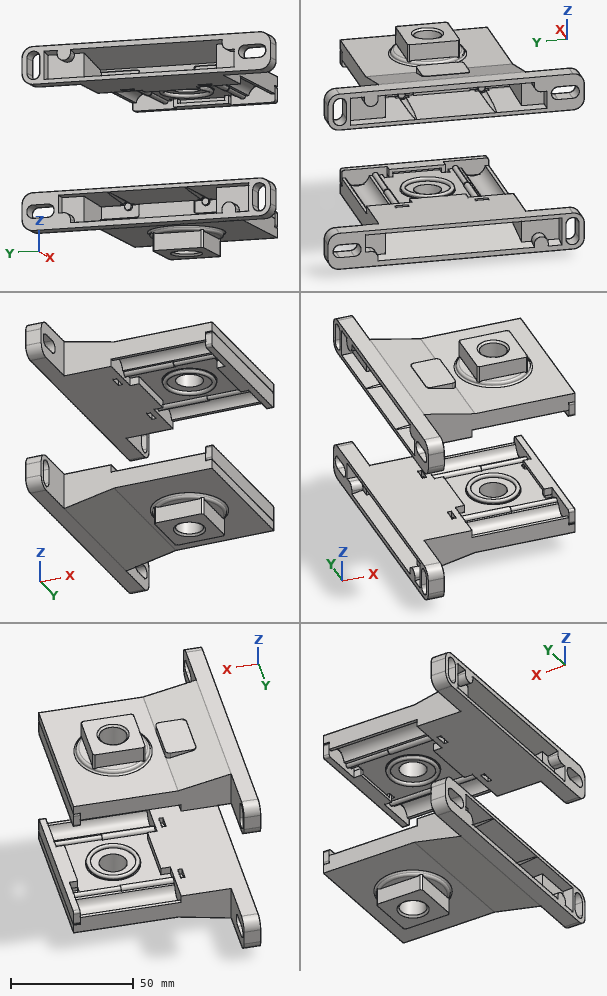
import cadquery as cq
import math


total_length = 73.3
total_height = 84.8
half_gap = 22.6

flange_length = 108
flange_height = 15.8
flange_thickness = 7.0
flange_corner_radius = 4.8
slot_width = 5.5
slot_length = 11.8
flat_slot_y = 46.0
upright_slot_y = -49.0

body_width = 62.0
body_depth = 11.0
slope_end_x = 29.4
deck_end_x = 28.1
tongue_end_x = 32.1
tongue_half_width = 11.9
floor_z = -3.3

pad_width = 20.1
pad_start_x = 16.5
pad_z = -13.9
pad_corner_radius = 1.8

rod_hole_diameter = 3.2
rod_z = floor_z
ceiling_z = rod_z + rod_hole_diameter / 2
ceiling_drop = 1.0
window_bottom_z = -13.5
roof_rise = 4.5
cavity_end_x = 24.8
cavity_half_width = 28.7
pocket_depth = 4.9
window_short_y = 38.2
window_long_y = -44.5
boss_y = 35.9
boss_radius = 2.9
boss_tip_z = -9.2

recess_bottom_z = -8.1
recess_depth = 1.1
recess_corner_radius = 1.1

rod_y = 16.8
rod_front_diameter = 3.0
rod_rear_diameter = 2.5
rod_step_x = 50.2
trough_inner_y = 19.4
trough_outer_y = 29.5
trough_depth = 4.0
notch_x = 24.6
notch_length = 1.7
notch_width = 5.5

cover_start_x = 70.5
cover_depth = 6.9
cover_corner_radius = 1.1
lip_start_x = 67.1
lip_thickness = 1.4
lip_rib_width = 1.6
relief_width = 1.9
relief_depth = 2.2

spindle_x = 49.4
bore_diameter = 11.5
bore_chamfer = 0.9
shaft_diameter = 22.7
bead_diameter = 20.3
bead_width = 1.8
bead_z = -2.6
square_side = 22.0
square_chamfer = 0.8
square_end_z = half_gap - total_height / 2
collar_foot_diameter = 32.1
collar_diameter = 30.5
collar_foot_height = 0.6
collar_height = 1.8
collar_round = 1.2


def box(x0, x1, y0, y1, z0, z1):
    """Box between two corners."""
    return cq.Workplane("XY").box(x1 - x0, y1 - y0, z1 - z0, centered=False).translate((x0, y0, z0))


def x_cylinder(diameter, x0, x1, y, z):
    """Cylinder along X."""
    return cq.Workplane("YZ", origin=(x0, y, z)).circle(diameter / 2).extrude(x1 - x0)


def side_profile(points, y0, y1):
    """Polygon in the XZ plane, extruded from y0 to y1."""
    return cq.Workplane("XZ", origin=(0, y1, 0)).polyline(points).close().extrude(y1 - y0)


def make_flange():
    mid_z = -flange_height / 2
    flange = box(0, flange_thickness, -flange_length / 2, flange_length / 2, -flange_height, 0)
    flange = flange.edges("|X").fillet(flange_corner_radius)
    flat_slot = cq.Workplane("YZ", origin=(0, flat_slot_y, mid_z)).slot2D(slot_length, slot_width)
    upright_slot = cq.Workplane("YZ", origin=(0, upright_slot_y, mid_z)).slot2D(slot_length, slot_width, 90)
    return flange.cut(flat_slot.extrude(flange_thickness)).cut(upright_slot.extrude(flange_thickness))


def make_body_block():
    half_width = body_width / 2
    outline = [
        (0, 0),
        (tongue_end_x, 0),
        (tongue_end_x, floor_z),
        (total_length, floor_z),
        (total_length, -body_depth),
        (slope_end_x, -body_depth),
        (flange_thickness, -flange_height),
        (0, -flange_height),
    ]
    block = side_profile(outline, -half_width, half_width)
    for y0, y1 in ((-half_width, -tongue_half_width), (tongue_half_width, half_width)):
        block = block.cut(box(deck_end_x, tongue_end_x, y0, y1, floor_z, 0))
    return block.cut(box(cover_start_x, total_length, -half_width, half_width, -cover_depth, 0))


def make_pad():
    pad = box(pad_start_x, slope_end_x, -pad_width / 2, pad_width / 2, pad_z, -body_depth)
    return pad.edges("|Z").fillet(pad_corner_radius)


def make_cavity():
    """Tapering cavity behind the window, wide and shallow in the flange, narrower behind it."""
    cavity_outline = [
        (0, ceiling_z),
        (cavity_end_x, ceiling_z - ceiling_drop),
        (cavity_end_x, window_bottom_z + roof_rise),
        (0, window_bottom_z),
    ]
    deep_part = side_profile(cavity_outline, -cavity_half_width, cavity_half_width)
    wide_part = side_profile(cavity_outline, window_long_y, window_short_y)
    wide_part = wide_part.intersect(
        box(0, pocket_depth, window_long_y, window_short_y, -flange_height, 0)
    )
    cavity = deep_part.union(wide_part)

    boss_centre_z = boss_tip_z - boss_radius
    for y in (-boss_y, boss_y):
        cavity = cavity.cut(x_cylinder(2 * boss_radius, 0, pocket_depth, y, boss_centre_z))
        boss_root = box(0, pocket_depth, y - boss_radius, y + boss_radius, -flange_height, boss_centre_z)
        cavity = cavity.cut(boss_root)
    return cavity.cut(box(0, pocket_depth, boss_y, window_short_y, -flange_height, boss_tip_z))


def make_wall_recess(side):
    inner_y = side * tongue_half_width
    outer_y = side * cavity_half_width
    top_z = ceiling_z - ceiling_drop
    recess = box(
        cavity_end_x,
        cavity_end_x + recess_depth,
        min(inner_y, outer_y),
        max(inner_y, outer_y),
        recess_bottom_z,
        top_z,
    )
    inner_bottom_edge = cq.selectors.NearestToPointSelector(
        (cavity_end_x + recess_depth / 2, inner_y, recess_bottom_z)
    )
    return recess.edges(inner_bottom_edge).fillet(recess_corner_radius)


def make_trough(side):
    """Circular-arc groove beside a rod."""
    half_width = (trough_outer_y - trough_inner_y) / 2
    centre_y = side * (trough_outer_y + trough_inner_y) / 2
    return (
        cq.Workplane("YZ", origin=(deck_end_x, centre_y, floor_z))
        .moveTo(-half_width, 0)
        .threePointArc((0, -trough_depth), (half_width, 0))
        .close()
        .extrude(cover_start_x - deck_end_x)
    )


def make_notch(side):
    """Small opening in the deck above a rod."""
    x0 = notch_x - notch_length / 2
    centre_y = side * rod_y
    return box(
        x0, x0 + notch_length, centre_y - notch_width / 2, centre_y + notch_width / 2, floor_z, 0
    )


def make_relief(side):
    """Clearance pit in the floor beside the end cover's lip."""
    centre_y = side * (tongue_half_width + relief_width / 2)
    return box(
        lip_start_x,
        cover_start_x,
        centre_y - relief_width / 2,
        centre_y + relief_width / 2,
        floor_z - relief_depth,
        floor_z,
    )


def make_rod(side):
    front = x_cylinder(rod_front_diameter, cavity_end_x, rod_step_x, side * rod_y, rod_z)
    rear = x_cylinder(rod_rear_diameter, rod_step_x, cover_start_x, side * rod_y, rod_z)
    return front.union(rear)


def make_housing(has_pad):
    housing = make_flange().union(make_body_block())
    if has_pad:
        housing = housing.union(make_pad())
    housing = housing.cut(make_cavity())
    for side in (-1, 1):
        housing = housing.cut(make_wall_recess(side))
        housing = housing.cut(x_cylinder(rod_hole_diameter, 0, deck_end_x, side * rod_y, rod_z))
        housing = housing.cut(make_rod(side))
        housing = housing.cut(make_trough(side))
        housing = housing.cut(make_notch(side))
        housing = housing.cut(make_relief(side))
    shaft_hole = cq.Workplane("XY", origin=(spindle_x, 0, -body_depth)).circle(shaft_diameter / 2)
    return housing.cut(shaft_hole.extrude(body_depth))


def make_collar():
    """Collar with a flared foot on the housing and a rounded rim; heights point away from the deck."""
    foot_radius = collar_foot_diameter / 2
    radius = collar_diameter / 2
    diagonal = math.sqrt(0.5)
    flare_width = foot_radius - radius
    flare_mid = (
        foot_radius - flare_width * diagonal,
        -body_depth - collar_foot_height * (1 - diagonal),
    )
    round_centre = (radius - collar_round, -body_depth - collar_height + collar_round)
    round_mid = (round_centre[0] + collar_round * diagonal, round_centre[1] - collar_round * diagonal)
    profile = (
        cq.Workplane("XZ")
        .moveTo(0, -body_depth)
        .lineTo(foot_radius, -body_depth)
        .threePointArc(flare_mid, (radius, -body_depth - collar_foot_height))
        .threePointArc(round_mid, (radius - collar_round, -body_depth - collar_height))
        .lineTo(0, -body_depth - collar_height)
        .close()
    )
    return profile.revolve(360, (0, 0, 0), (0, 1, 0))


def make_spindle():
    shaft = cq.Workplane("XY", origin=(0, 0, -body_depth)).circle(shaft_diameter / 2)
    shaft = shaft.extrude(body_depth + floor_z)
    bead = cq.Workplane(cq.Solid.makeTorus(bead_diameter / 2, bead_width / 2)).translate((0, 0, bead_z))
    half_side = square_side / 2
    square = box(-half_side, half_side, -half_side, half_side, square_end_z, -body_depth)
    square = square.edges("|Z").chamfer(square_chamfer)
    spindle = shaft.union(bead).union(make_collar()).union(square)
    bore = cq.Workplane("XY", origin=(0, 0, square_end_z)).circle(bore_diameter / 2)
    spindle = spindle.cut(bore.extrude(-square_end_z))
    mouth_radius = bore_diameter / 2 + bore_chamfer
    mouth = cq.Solid.makeCone(mouth_radius, bore_diameter / 2, bore_chamfer).translate((0, 0, square_end_z))
    return spindle.cut(cq.Workplane(mouth)).translate((spindle_x, 0, 0))


def make_end_cover():
    half_width = body_width / 2
    plate = box(cover_start_x, total_length, -half_width, half_width, -cover_depth, 0)
    plate = plate.edges("|X").fillet(cover_corner_radius)
    lip = box(lip_start_x, cover_start_x, -tongue_half_width, tongue_half_width, -lip_thickness, 0)
    cover = plate.union(lip)
    for y0 in (-tongue_half_width, tongue_half_width - lip_rib_width):
        cover = cover.union(box(lip_start_x, cover_start_x, y0, y0 + lip_rib_width, floor_z, 0))
    return cover


def place_half(body, turn):
    """Move a body of the lower half into place and turn it about the X axis."""
    placed = body.translate((-total_length / 2, 0, -half_gap))
    return placed.rotate((0, 0, 0), (1, 0, 0), turn)


lower_housing = make_housing(has_pad=False)
upper_housing = make_housing(has_pad=True)
spindle = make_spindle()
rods = [make_rod(side) for side in (-1, 1)]
end_cover = make_end_cover()

bodies = []
for turn, housing in ((0, lower_housing), (180, upper_housing)):
    for body in (housing, spindle, *rods, end_cover):
        bodies.append(place_half(body, turn).val())

result = cq.Compound.makeCompound(bodies)